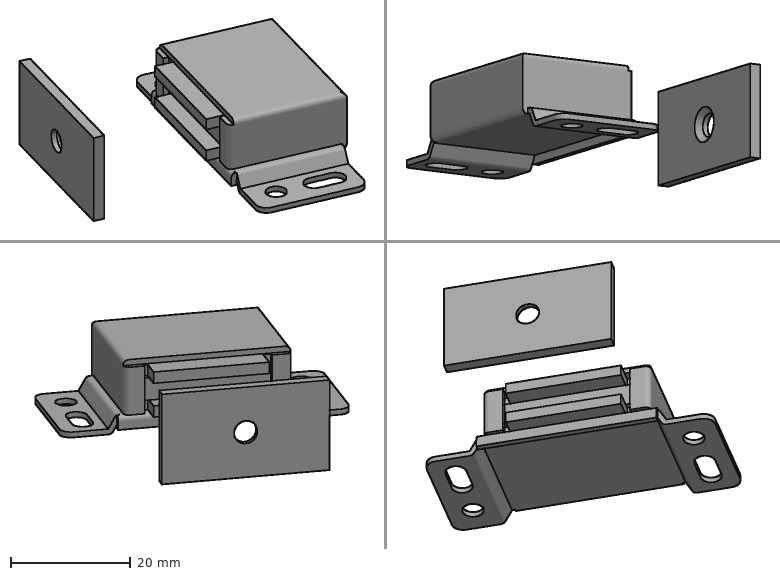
import cadquery as cq
import math

sheet = 1.0
bend_radius = sheet
ear_span = 50.0
case_depth = 20.0
ear_corner_radius = 2.0
deck_top = 3.5
deck_bottom = deck_top - sheet
deck_half_length = 15.05
ramp_angle = math.radians(60)
lip_half_length = 15.6
lip_bottom = sheet

hole_diameter = 3.6
slot_length = 7.6
hole_x = 20.5
hole_offset = 5.0
slot_offset = 4.0

cover_length = 29.0
cover_half = cover_length / 2
cover_top = 13.0
lid_bottom = cover_top - sheet
back_face = case_depth + sheet
flange_width = 3.5

pole_thickness = 2.0
magnet_thickness = 4.0
core_half_length = cover_half - sheet
tongue_half_length = 10.0
tongue_reach = 3.0
shoulder_setback = 1.0
lower_pole_bottom = deck_top
magnet_bottom = lower_pole_bottom + pole_thickness
upper_pole_bottom = magnet_bottom + magnet_thickness

strike_length = cover_length
strike_height = 16.0
strike_thickness = 2.0
strike_front = -26.0
strike_bottom = -0.25
strike_hole_diameter = 4.0
countersink_diameter = 6.0
countersink_depth = (countersink_diameter - strike_hole_diameter) / 2


def block(x_limits, y_limits, z_limits):
    """Box given by its limits along X, Y and Z."""
    (x0, x1), (y0, y1), (z0, z1) = x_limits, y_limits, z_limits
    return cq.Workplane("XY").box(x1 - x0, y1 - y0, z1 - z0, centered=False).translate((x0, y0, z0))


def both_sides(body):
    """The body joined with its mirror image across X = 0."""
    return body.union(body.mirror("YZ"))


def around(center, angle):
    """Point of a bend's outer arc, at an angle from +X about the bend's centre."""
    return (center[0] + bend_radius * math.cos(angle), center[1] + bend_radius * math.sin(angle))


def make_deck_and_ears():
    """Raised deck that ramps down to an ear on each side."""
    square_to_ramp = math.pi / 2 - ramp_angle
    ramp_length = (deck_bottom - sheet + sheet * math.cos(ramp_angle)) / math.sin(ramp_angle)
    ramp_run = ramp_length * math.cos(ramp_angle) + sheet * math.sin(ramp_angle)
    upper_bend = (deck_half_length, deck_bottom)
    lower_bend = (deck_half_length + ramp_run, sheet)
    upper_arc_middle = (math.pi / 2 + square_to_ramp) / 2
    half_profile = (
        cq.Workplane("XZ")
        .moveTo(0, deck_bottom)
        .lineTo(*upper_bend)
        .lineTo(*around(lower_bend, square_to_ramp + math.pi))
        .threePointArc(around(lower_bend, upper_arc_middle + math.pi), around(lower_bend, -math.pi / 2))
        .lineTo(ear_span / 2, 0)
        .lineTo(ear_span / 2, sheet)
        .lineTo(*lower_bend)
        .lineTo(*around(upper_bend, square_to_ramp))
        .threePointArc(around(upper_bend, upper_arc_middle), around(upper_bend, math.pi / 2))
        .lineTo(0, deck_top)
        .close()
    )
    half = half_profile.extrude(-case_depth)
    half = half.faces(">X").edges("|Z").fillet(ear_corner_radius)
    return both_sides(half)


def make_mounting_holes(side):
    """Round hole and slot of one ear; the two ears are half-turn copies of each other."""
    middle = case_depth / 2
    hole = (
        cq.Workplane("XY")
        .center(side * hole_x, middle - side * hole_offset)
        .circle(hole_diameter / 2)
        .extrude(sheet)
    )
    slot = (
        cq.Workplane("XY")
        .center(side * hole_x, middle + side * slot_offset)
        .slot2D(slot_length, hole_diameter, 90)
        .extrude(sheet)
    )
    return hole.union(slot)


def make_front_lip():
    """Lip bent down from the deck's front edge, its upper ends rounded like the deck's bends."""
    bend_center = (deck_half_length, deck_bottom)
    end_angle = math.acos((lip_half_length - deck_half_length) / bend_radius)
    half_face = (
        cq.Workplane("XZ")
        .moveTo(0, lip_bottom)
        .lineTo(lip_half_length, lip_bottom)
        .lineTo(*around(bend_center, end_angle))
        .threePointArc(around(bend_center, (end_angle + math.pi / 2) / 2), around(bend_center, math.pi / 2))
        .lineTo(0, deck_top)
        .close()
        .extrude(sheet)
    )
    bent_section = (
        cq.Workplane("YZ")
        .moveTo(0, lip_bottom)
        .lineTo(-sheet, lip_bottom)
        .lineTo(-sheet, deck_bottom)
        .radiusArc((0, deck_top), bend_radius)
        .close()
        .extrude(lip_half_length)
    )
    return both_sides(half_face.intersect(bent_section))


def make_back_wall():
    """Wall bent up from the deck's rear edge, reaching the lid."""
    section = (
        cq.Workplane("YZ", origin=(-cover_half, 0, 0))
        .moveTo(case_depth, deck_bottom)
        .radiusArc((back_face, deck_top), -bend_radius)
        .lineTo(back_face, lid_bottom)
        .lineTo(case_depth, lid_bottom)
        .close()
    )
    return section.extrude(cover_length)


def make_lid():
    """Lid whose bends round its two sides and its rear."""
    side_bends = (
        cq.Workplane("XZ")
        .moveTo(-cover_half, lid_bottom)
        .radiusArc((bend_radius - cover_half, cover_top), bend_radius)
        .lineTo(cover_half - bend_radius, cover_top)
        .radiusArc((cover_half, lid_bottom), bend_radius)
        .close()
        .extrude(-back_face)
    )
    rear_bend = (
        cq.Workplane("YZ", origin=(-cover_half, 0, 0))
        .moveTo(0, lid_bottom)
        .lineTo(0, cover_top)
        .lineTo(case_depth, cover_top)
        .radiusArc((back_face, lid_bottom), bend_radius)
        .close()
        .extrude(cover_length)
    )
    return side_bends.intersect(rear_bend)


def make_sides():
    """Side walls standing on the deck, each with a flange folded across the front."""
    plan = (
        cq.Workplane("XY", origin=(0, 0, deck_top))
        .moveTo(cover_half - flange_width, 0)
        .lineTo(cover_half - flange_width, -sheet)
        .lineTo(cover_half - bend_radius, -sheet)
        .radiusArc((cover_half, 0), -bend_radius)
        .lineTo(cover_half, case_depth)
        .lineTo(cover_half - sheet, case_depth)
        .lineTo(cover_half - sheet, 0)
        .close()
    )
    return both_sides(plan.extrude(lid_bottom - deck_top))


def make_case():
    """The whole folded case; the joints between its folds stay as seams on its faces."""
    case = make_deck_and_ears()
    for side in (1, -1):
        case = case.cut(make_mounting_holes(side))
    for fold in (make_front_lip(), make_back_wall(), make_lid(), make_sides()):
        case = case.union(fold, clean=False)
    return case


def make_pole_plate(bottom):
    """T-shaped plate: wide inside the case, with a narrower tongue out through the front.

    The shoulders lie behind the front flanges of the case by the setback.
    """
    heights = (bottom, bottom + pole_thickness)
    plate = block((-core_half_length, core_half_length), (shoulder_setback, case_depth), heights)
    tongue = block((-tongue_half_length, tongue_half_length), (-tongue_reach, shoulder_setback), heights)
    return plate.union(tongue)


def make_magnet():
    """Plain block filling the space between the two pole plates."""
    return block((-core_half_length, core_half_length), (0, case_depth), (magnet_bottom, upper_pole_bottom))


def make_strike_plate():
    """Flat plate with a central screw hole countersunk from its rear face."""
    plate = block(
        (-strike_length / 2, strike_length / 2),
        (strike_front, strike_front + strike_thickness),
        (strike_bottom, strike_bottom + strike_height),
    )
    hole_radius = strike_hole_diameter / 2
    hole_section = (
        cq.Workplane("XY", origin=(0, strike_front, strike_bottom + strike_height / 2))
        .lineTo(hole_radius, 0)
        .lineTo(hole_radius, strike_thickness - countersink_depth)
        .lineTo(countersink_diameter / 2, strike_thickness)
        .lineTo(0, strike_thickness)
        .close()
    )
    return plate.cut(hole_section.revolve(360, (0, 0, 0), (0, 1, 0)))


case = make_case()
pole_plates = [make_pole_plate(bottom) for bottom in (lower_pole_bottom, upper_pole_bottom)]
magnet = make_magnet()
strike_plate = make_strike_plate()

result = cq.Compound.makeCompound(
    [
        case.val(),
        *[plate.val() for plate in pole_plates],
        magnet.val(),
        strike_plate.val(),
    ]
)